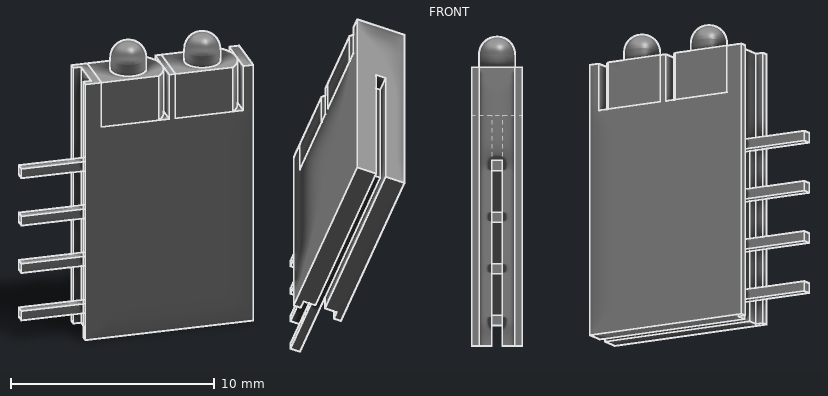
import cadquery as cq


TOTAL_HEIGHT = 15.24
THICKNESS = 2.5
HOUSING_DEPTH = 8.61
CHANNEL_WIDTH = 1.75
CHANNEL_DEPTH = 0.4

DOME_RADIUS = 0.9
DOME_NECK = 0.61
FLANGE_RADIUS = 1.74
FLANGE_HEIGHT = 2.38
LED_PITCH = 3.8
FIRST_LED_Y = 2.56

LEAD_SIZE = 0.5
LEAD_PROTRUSION = 2.99
LEAD_PITCH = 2.55
LOWEST_LEAD_BOTTOM = 1.0
LEG_SPACING = 2.55
LEADS_PER_LED = 2
LED_COUNT = 2

HOUSING_HEIGHT = TOTAL_HEIGHT - DOME_NECK - DOME_RADIUS
FLANGE_BOTTOM = HOUSING_HEIGHT - FLANGE_HEIGHT
LEAD_COUNT = LED_COUNT * LEADS_PER_LED
HIGHEST_LEAD_BOTTOM = LOWEST_LEAD_BOTTOM + (LEAD_COUNT - 1) * LEAD_PITCH
SLOT_HEIGHT = HIGHEST_LEAD_BOTTOM + LEAD_SIZE
LED_POSITIONS = [FIRST_LED_Y + i * LED_PITCH for i in range(LED_COUNT)]


def block(x_size, y_start, y_end, z_start, z_end):
    """Box centred on X = 0 between the given Y and Z limits."""
    return (
        cq.Workplane("XY")
        .box(x_size, y_end - y_start, z_end - z_start, centered=(True, False, False))
        .translate((0, y_start, z_start))
    )


def leg_centre(led_index, leg_index):
    """Y position of a vertical leg; leg 0 is the front one."""
    return LED_POSITIONS[led_index] + (leg_index - (LEADS_PER_LED - 1) / 2) * LEG_SPACING


def make_lead(led_index, leg_index):
    """L-shaped lead: a leg down from the flange, bent forward and out of the housing."""
    drop = led_index * LEADS_PER_LED + leg_index
    bottom = HIGHEST_LEAD_BOTTOM - drop * LEAD_PITCH
    leg_front = leg_centre(led_index, leg_index) - LEAD_SIZE / 2
    leg_back = leg_front + LEAD_SIZE
    leg = block(LEAD_SIZE, leg_front, leg_back, bottom, FLANGE_BOTTOM)
    foot = block(LEAD_SIZE, -LEAD_PROTRUSION, leg_back, bottom, bottom + LEAD_SIZE)
    return leg.union(foot)


def make_led(led_index):
    """LED with a flange, a domed lens and its leads, as one solid."""
    centre_y = LED_POSITIONS[led_index]
    centre_plane = cq.Workplane("XY", origin=(0, centre_y, FLANGE_BOTTOM))
    round_end = centre_plane.circle(FLANGE_RADIUS).extrude(FLANGE_HEIGHT)
    square_end = block(
        2 * FLANGE_RADIUS, centre_y - FLANGE_RADIUS, centre_y, FLANGE_BOTTOM, HOUSING_HEIGHT
    )
    housing_width = block(THICKNESS, 0, HOUSING_DEPTH, 0, HOUSING_HEIGHT)
    flange = round_end.union(square_end).intersect(housing_width)

    neck = (
        cq.Workplane("XY", origin=(0, centre_y, HOUSING_HEIGHT))
        .circle(DOME_RADIUS)
        .extrude(DOME_NECK)
    )
    dome_centre = (0, centre_y, HOUSING_HEIGHT + DOME_NECK)
    dome = cq.Workplane("XY").sphere(DOME_RADIUS, angle1=0).translate(dome_centre)
    led = flange.union(neck).union(dome)
    for leg_index in range(LEADS_PER_LED):
        led = led.union(make_lead(led_index, leg_index))
    return led


def make_housing():
    """Housing with the front channel, the lead slot, the leg holes and the flange pockets."""
    housing = block(THICKNESS, 0, HOUSING_DEPTH, 0, HOUSING_HEIGHT)
    housing = housing.cut(block(CHANNEL_WIDTH, 0, CHANNEL_DEPTH, 0, HOUSING_HEIGHT))
    housing = housing.cut(block(LEAD_SIZE, 0, HOUSING_DEPTH, 0, SLOT_HEIGHT))
    for led_index, centre_y in enumerate(LED_POSITIONS):
        pocket_front = centre_y - FLANGE_RADIUS
        pocket_back = centre_y + FLANGE_RADIUS
        housing = housing.cut(
            block(THICKNESS, pocket_front, pocket_back, FLANGE_BOTTOM, HOUSING_HEIGHT)
        )
        for leg_index in range(LEADS_PER_LED):
            hole_front = leg_centre(led_index, leg_index) - LEAD_SIZE / 2
            hole_back = hole_front + LEAD_SIZE
            housing = housing.cut(
                block(LEAD_SIZE, hole_front, hole_back, SLOT_HEIGHT, FLANGE_BOTTOM)
            )
    return housing


housing = make_housing()
leds = [make_led(led_index) for led_index in range(LED_COUNT)]

result = cq.Compound.makeCompound([housing.val(), *[led.val() for led in leds]])